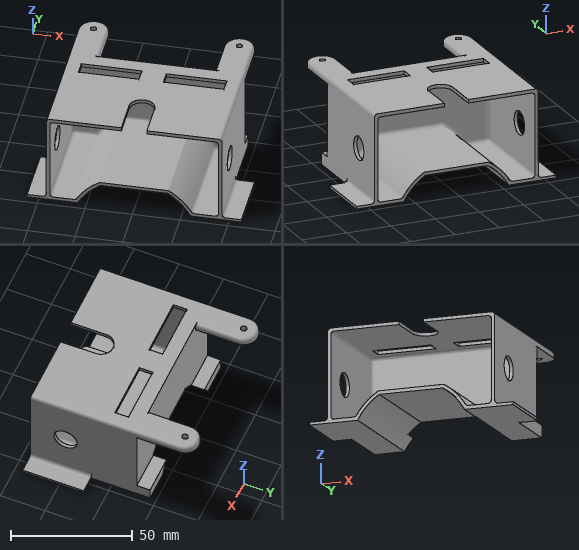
import cadquery as cq
import math

base_width = 90.2
height = 40.6
total_depth = 73.1
box_width = 74.0
box_depth = 47.8
wall = 1.5
round_radius = 1.5

flange_depth = 27.5
flange_thickness = 1.3

arch_bottom_half_width = 23.6
arch_radius = 26.9
arch_height = 10.1
crown_blend_radius = 0.1

foot_end = 53.8
foot_height = 5.5

arm_width = 12.6
arm_thickness = 3.1
arm_hole_diameter = 2.5

side_hole_diameter = 10.3
side_hole_y = 15.9
side_hole_z = 20.2

notch_width = 10.7
notch_depth = 21.3

slot_inner_x = 5.1
slot_outer_x = 30.6
slot_front_y = 35.3
slot_back_y = 41.3

half_width = box_width / 2
inner_half_width = half_width - wall
cavity_depth = box_depth - wall
arch_center_z = -math.sqrt(arch_radius**2 - arch_bottom_half_width**2)


def block(x0, x1, y0, y1, z0, z1):
    return cq.Workplane("XY").box(x1 - x0, y1 - y0, z1 - z0, centered=False).translate((x0, y0, z0))


def arch_tunnel(radius, bottom, top, depth):
    """Flat-topped tunnel along Y with circular flanks about the arch center."""
    def half_width_at(z):
        return math.sqrt(radius**2 - (z - arch_center_z)**2)

    low_x = half_width_at(bottom)
    high_x = half_width_at(top)
    middle_z = (bottom + top) / 2
    middle_x = half_width_at(middle_z)
    return (
        cq.Workplane("XZ")
        .moveTo(-low_x, bottom)
        .threePointArc((-middle_x, middle_z), (-high_x, top))
        .lineTo(high_x, top)
        .threePointArc((middle_x, middle_z), (low_x, bottom))
        .close()
        .extrude(-depth)
    )


def make_shell():
    """Box with side flanges, rounded where the walls meet the top and flanges."""
    box = block(-half_width, half_width, 0, box_depth, 0, height)
    flanges = block(-base_width / 2, base_width / 2, 0, flange_depth, 0, flange_thickness)
    body = box.union(flanges)
    for side in (-1, 1):
        root = cq.NearestToPointSelector((side * half_width, flange_depth / 2, flange_thickness))
        body = body.edges("|Y").edges(root).fillet(round_radius)
    return body


def make_cavity():
    """Front-opening interior that keeps a uniform floor over the arch."""
    cavity = block(-inner_half_width, inner_half_width, 0, cavity_depth, wall, height - wall)
    cavity = cavity.cut(arch_tunnel(arch_radius + wall, wall, arch_height + wall, cavity_depth))
    top_corners = cq.selectors.BoxSelector((-box_width, 0, height / 2), (box_width, box_depth, height))
    floor_corners = cq.selectors.BoxSelector((-box_width, 0, 0), (box_width, box_depth, 2 * wall))
    crown_edges = cq.selectors.BoxSelector(
        (-arch_bottom_half_width, 0, arch_height), (arch_bottom_half_width, box_depth, height / 2)
    )
    cavity = cavity.edges("|Y").edges(top_corners + floor_corners).fillet(round_radius)
    cavity = cavity.edges("|Y").edges(crown_edges).fillet(crown_blend_radius)
    return cavity.faces(">Y").edges().fillet(round_radius)


def make_arm(side):
    """Arm flush with the box side, with a semicircular end."""
    radius = arm_width / 2
    center_x = side * (half_width - radius)
    end_y = total_depth - radius
    bottom = height - arm_thickness
    bar = block(center_x - radius, center_x + radius, cavity_depth, end_y, bottom, height)
    tip = cq.Workplane("XY", origin=(center_x, end_y, bottom)).circle(radius).extrude(arm_thickness)
    return bar.union(tip)


def make_arm_hole(side):
    radius = arm_width / 2
    origin = (side * (half_width - radius), total_depth - radius, height - arm_thickness)
    return cq.Workplane("XY", origin=origin).circle(arm_hole_diameter / 2).extrude(arm_thickness)


def round_top(body):
    """Round the long top edges and both arm outlines; keep front and rear edges sharp."""
    return body.faces(">Z").edges("not |X").fillet(round_radius)


def make_notch():
    radius = notch_width / 2
    straight = notch_depth - radius
    bottom = height - wall
    end = cq.Workplane("XY", origin=(0, straight, bottom)).circle(radius).extrude(wall)
    return block(-radius, radius, 0, straight, bottom, height).union(end)


result = make_shell()
result = result.union(block(-half_width, half_width, box_depth, foot_end, 0, foot_height))
for side in (-1, 1):
    result = result.union(make_arm(side))
result = round_top(result)

result = result.cut(make_cavity())
result = result.cut(arch_tunnel(arch_radius, 0, arch_height, foot_end))
result = result.cut(make_notch())

side_holes = (
    cq.Workplane("YZ", origin=(-half_width, side_hole_y, side_hole_z))
    .circle(side_hole_diameter / 2)
    .extrude(box_width)
)
result = result.cut(side_holes)

slot_width = slot_outer_x - slot_inner_x
for side in (-1, 1):
    slot_start = slot_inner_x if side > 0 else -slot_outer_x
    slot = block(slot_start, slot_start + slot_width, slot_front_y, slot_back_y, height - wall, height)
    result = result.cut(slot)
    result = result.cut(make_arm_hole(side))